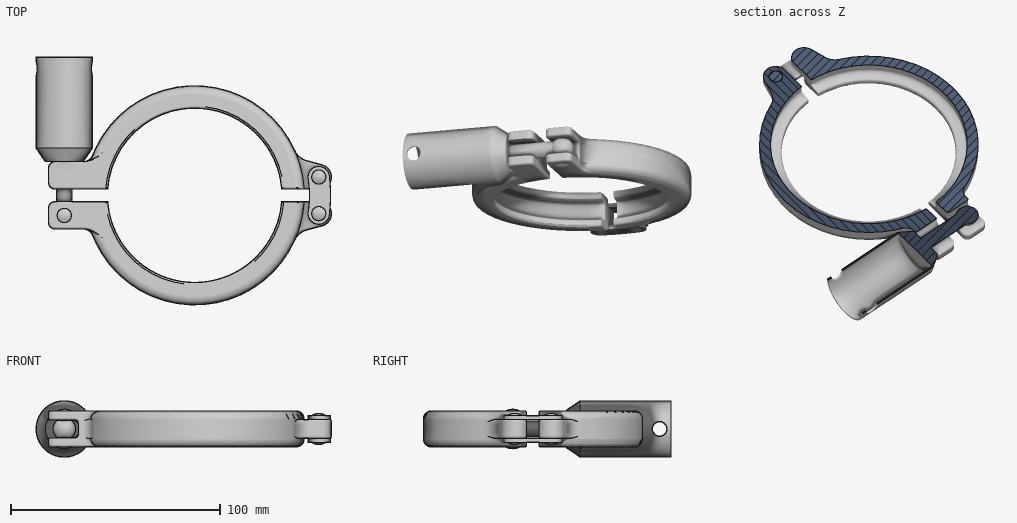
import cadquery as cq
import math


OVERALL_LENGTH = 141.1

RING_RADIUS = 52.4
RING_HALF_HEIGHT = 8.6
RING_ROUNDING = 3.8
RING_WALL_HALF_HEIGHT = RING_HALF_HEIGHT - RING_ROUNDING
RING_FLAT_RADIUS = RING_RADIUS - RING_ROUNDING
BORE_RADIUS = 41.6
HALF_GAP = 3.0
EDGE_FILLET = 1.0

GROOVE_RADIUS = 46.8
GROOVE_FLOOR_HALF_HEIGHT = 4.2
GROOVE_MOUTH_HALF_HEIGHT = 5.2

FORK_END_X = -69.8
FORK_BACK_Y = 16.1
FORK_CORNER_RADIUS = 3.1
FORK_BLEND_RADIUS = 5.0
FORK_RIM_BLEND_RADIUS = 9.3
FORK_SECTOR_ANGLE = 24.5
RING_START_ANGLE = 18.5
SLOT_HALF_HEIGHT = 4.2
PIVOT_SLOT_END_X = -55.6
PIVOT_SLOT_CORNER_RADIUS = 1.5
CLOSING_SLOT_END_X = PIVOT_SLOT_END_X + EDGE_FILLET
CLOSING_SLOT_CORNER_RADIUS = 4.1

HINGE_X = 59.3
HINGE_Y = 8.7
LUG_RADIUS = 6.0
LUG_HALF_HEIGHT = 4.5
LUG_SLOPE = 15.0
LUG_BLEND_RADIUS = 8.5
LINK_HALF_WIDTH = 5.1
LINK_TOP = 6.3
PIN_RADIUS = 3.4
HINGE_HEAD_HEIGHT = 1.1

HANDLE_DIAMETER = 27.0
PIVOT_Y = -9.6
PIVOT_HEAD_HEIGHT = 0.8
BALL_RADIUS = 5.4
ROD_DIAMETER = 7.6
HANDLE_RADIUS = HANDLE_DIAMETER / 2
HANDLE_WALL = 1.0
BOLT_X = HINGE_X + LUG_RADIUS + HANDLE_RADIUS - OVERALL_LENGTH
HANDLE_NECK_RADIUS = 9.0
HANDLE_CONE_Y = 22.6
HANDLE_END_Y = 66.0
HANDLE_HOLE_Y = 60.5
HANDLE_HOLE_DIAMETER = 6.9

TOLERANCE = 0.01
FAR = 2 * RING_RADIUS


def slab(half_height):
    """Workplane at the bottom of a plate that is centred on Z = 0."""
    return cq.Workplane("XY", origin=(0, 0, -half_height))


def cylinder(x, y, radius, half_height):
    """Upright cylinder that is centred on Z = 0."""
    return slab(half_height).center(x, y).circle(radius).extrude(2 * half_height)


def front_space():
    """Everything on the front side of the gap."""
    return cq.Workplane("XY").box(2 * FAR, FAR, FAR).translate((0, -HALF_GAP - FAR / 2, 0))


def fork_sector(angle, half_height):
    """Wedge round the ring axis, from the gap to an angle on the fork side."""
    drop = FAR * math.tan(math.radians(angle))
    return slab(half_height).polyline([(0, 0), (-FAR, 0), (-FAR, -drop)]).close().extrude(2 * half_height)


def edge_at(x, y):
    """Selector of the upright edge at a point of an outline."""
    return cq.selectors.NearestToPointSelector((x, y, 0))


def half_ring():
    """Half ring with a rounded outside and filleted rims at the bore and at the gap."""
    disc = cylinder(0, 0, RING_RADIUS, RING_HALF_HEIGHT)
    bore = cylinder(0, 0, BORE_RADIUS, RING_HALF_HEIGHT)
    rimmed = disc.cut(bore).intersect(front_space()).faces("<Z or >Z").edges().fillet(EDGE_FILLET)
    ring = rimmed.intersect(disc.edges().fillet(RING_ROUNDING))
    inside = cylinder(0, 0, RING_FLAT_RADIUS, RING_HALF_HEIGHT)
    ring = ring.cut(fork_sector(RING_START_ANGLE, RING_HALF_HEIGHT))
    return ring.cut(fork_sector(FORK_SECTOR_ANGLE, RING_HALF_HEIGHT).intersect(inside))


def fork_plate(disc_radius, half_height, blend_radius):
    """Fork arm that runs into a disc round the ring axis through a concave blend."""
    height = 2 * half_height
    arm = (
        slab(half_height)
        .moveTo(FORK_END_X, -FORK_BACK_Y)
        .lineTo(-BORE_RADIUS, -FORK_BACK_Y)
        .lineTo(-BORE_RADIUS, -HALF_GAP)
        .lineTo(FORK_END_X, -HALF_GAP)
        .close()
        .extrude(height)
        .edges("|Z and <X")
        .fillet(FORK_CORNER_RADIUS)
    )
    disc = cylinder(0, 0, disc_radius, half_height).intersect(front_space())
    corner_x = -math.sqrt(disc_radius**2 - FORK_BACK_Y**2)
    plate = arm.union(disc).edges(edge_at(corner_x, -FORK_BACK_Y)).fillet(blend_radius)
    plate = plate.cut(cylinder(0, 0, BORE_RADIUS, half_height))
    plate = plate.faces("<Z or >Z").edges().fillet(EDGE_FILLET)
    return plate.intersect(fork_sector(FORK_SECTOR_ANGLE, half_height))


def fork():
    """Full-height fork, and the wall that leads from its back to the outside of the ring."""
    rim = fork_plate(RING_FLAT_RADIUS + EDGE_FILLET, RING_HALF_HEIGHT, FORK_RIM_BLEND_RADIUS)
    wall = fork_plate(RING_RADIUS, RING_WALL_HALF_HEIGHT, FORK_BLEND_RADIUS)
    return rim.union(wall)


def fork_slot(end_x, corner_radius):
    """Slot that the swing bolt lies in, with rounded inner corners."""
    length = end_x - FORK_END_X
    return (
        cq.Workplane("XY")
        .box(length, 2 * FORK_BACK_Y, 2 * SLOT_HALF_HEIGHT)
        .edges("|Y and >X")
        .fillet(corner_radius)
        .translate((FORK_END_X + length / 2, -FORK_BACK_Y, 0))
    )


def hinge_lug():
    """Flat lug round the hinge pin that blends into the outside of the ring."""
    slope = math.radians(LUG_SLOPE)
    along = cq.Vector(math.cos(slope), math.sin(slope))
    outward = cq.Vector(math.sin(slope), -math.cos(slope))
    eye_centre = cq.Vector(HINGE_X, -HINGE_Y)
    blend_offset = eye_centre.dot(outward) + LUG_RADIUS + LUG_BLEND_RADIUS
    blend_distance = RING_RADIUS + LUG_BLEND_RADIUS
    blend_centre = outward * blend_offset + along * math.sqrt(blend_distance**2 - blend_offset**2)
    ring_direction = blend_centre.normalized()
    blend_middle = blend_centre - (outward + ring_direction).normalized() * LUG_BLEND_RADIUS
    eye_gap_x = HINGE_X + math.sqrt(LUG_RADIUS**2 - (HINGE_Y - HALF_GAP) ** 2)
    outline = (
        slab(LUG_HALF_HEIGHT)
        .moveTo(RING_FLAT_RADIUS, -HALF_GAP)
        .lineTo(eye_gap_x, -HALF_GAP)
        .threePointArc(
            (HINGE_X + LUG_RADIUS, -HINGE_Y),
            (eye_centre + outward * LUG_RADIUS).toTuple()[:2],
        )
        .lineTo(*(blend_centre - outward * LUG_BLEND_RADIUS).toTuple()[:2])
        .threePointArc(blend_middle.toTuple()[:2], (ring_direction * RING_RADIUS).toTuple()[:2])
        .lineTo(*(ring_direction * RING_FLAT_RADIUS).toTuple()[:2])
        .close()
    )
    lug = outline.extrude(2 * LUG_HALF_HEIGHT)
    return lug.faces("<Z or >Z").edges().fillet(EDGE_FILLET)


def groove():
    """Disc that is turned out of the ring to form the groove, with rounded floor corners."""
    lower_side = [
        (0, -GROOVE_MOUTH_HALF_HEIGHT),
        (BORE_RADIUS, -GROOVE_MOUTH_HALF_HEIGHT),
        (GROOVE_RADIUS, -GROOVE_FLOOR_HALF_HEIGHT),
    ]
    upper_side = [(r, -z) for r, z in reversed(lower_side)]
    disc = cq.Workplane("XZ").polyline(lower_side + upper_side).close().revolve(360, (0, 0), (0, 1))
    return disc.edges().filter(is_groove_floor).fillet(EDGE_FILLET)


def is_groove_floor(edge):
    """True for the circular edges at the bottom of the groove."""
    return edge.geomType() == "CIRCLE" and abs(edge.radius() - GROOVE_RADIUS) < TOLERANCE


def is_groove_mouth(edge):
    """True for the circular edges between the bore and the groove."""
    height = abs(edge.Center().z)
    return (
        edge.geomType() == "CIRCLE"
        and abs(edge.radius() - BORE_RADIUS) < TOLERANCE
        and abs(height - GROOVE_MOUTH_HALF_HEIGHT) < TOLERANCE
    )


def clamp_half():
    """Front half of the clamp, without its slot, link and pins."""
    half = half_ring().union(fork()).union(hinge_lug()).cut(groove())
    return half.edges().filter(is_groove_mouth).fillet(EDGE_FILLET)


def pin_with_heads(x, y, half_length, head_height):
    """Riveted pin with a domed head at each end."""
    tip = half_length + head_height
    dome_radius = (PIN_RADIUS**2 + head_height**2) / (2 * head_height)
    middle_x = PIN_RADIUS / 2
    middle_z = tip - dome_radius + math.sqrt(dome_radius**2 - middle_x**2)
    return (
        cq.Workplane("XZ")
        .moveTo(0, -tip)
        .threePointArc((middle_x, -middle_z), (PIN_RADIUS, -half_length))
        .lineTo(PIN_RADIUS, half_length)
        .threePointArc((middle_x, middle_z), (0, tip))
        .close()
        .revolve(360, (0, 0), (0, 1))
        .translate((x, y, 0))
    )


def link_plates():
    """Two banana-shaped link plates, bent round the ring axis, above and below the lugs."""
    pitch_radius = math.hypot(HINGE_X, HINGE_Y)
    outer_radius = pitch_radius + LINK_HALF_WIDTH
    inner_radius = pitch_radius - LINK_HALF_WIDTH
    cosine = HINGE_X / pitch_radius
    sine = HINGE_Y / pitch_radius
    end_x = HINGE_X - LINK_HALF_WIDTH * sine
    end_y = HINGE_Y + LINK_HALF_WIDTH * cosine
    outer_x, outer_y = outer_radius * cosine, outer_radius * sine
    inner_x, inner_y = inner_radius * cosine, inner_radius * sine
    plate = (
        cq.Workplane("XY", origin=(0, 0, LUG_HALF_HEIGHT))
        .moveTo(outer_x, -outer_y)
        .threePointArc((outer_radius, 0), (outer_x, outer_y))
        .threePointArc((end_x, end_y), (inner_x, inner_y))
        .threePointArc((inner_radius, 0), (inner_x, -inner_y))
        .threePointArc((end_x, -end_y), (outer_x, -outer_y))
        .close()
        .extrude(LINK_TOP - LUG_HALF_HEIGHT)
    )
    return plate.union(plate.mirror("XY"))


def make_front_half():
    """Front half with the pivot slot, and with the hinge link and its two pins."""
    half = clamp_half().cut(fork_slot(PIVOT_SLOT_END_X, PIVOT_SLOT_CORNER_RADIUS))
    fork_middle_y = -(HALF_GAP + FORK_BACK_Y) / 2
    slot_rim = cq.selectors.NearestToPointSelector((FORK_END_X, fork_middle_y, SLOT_HALF_HEIGHT))
    half = half.edges(slot_rim).fillet(EDGE_FILLET).union(link_plates())
    for y in (-HINGE_Y, HINGE_Y):
        half = half.union(pin_with_heads(HINGE_X, y, LINK_TOP, HINGE_HEAD_HEIGHT))
    return half.cut(cylinder(BOLT_X, PIVOT_Y, PIN_RADIUS, RING_HALF_HEIGHT))


def make_rear_half():
    """Rear half with a sharp-edged slot, and a hole for its hinge pin."""
    half = clamp_half().cut(fork_slot(CLOSING_SLOT_END_X, CLOSING_SLOT_CORNER_RADIUS)).mirror("XZ")
    return half.cut(cylinder(HINGE_X, HINGE_Y, PIN_RADIUS, LUG_HALF_HEIGHT))


def make_swing_bolt():
    """Rod with a flattened ball on its pivot pin, and a hollow cross-drilled handle."""
    rod_radius = ROD_DIAMETER / 2
    hollow_radius = HANDLE_RADIUS - HANDLE_WALL
    profile = [
        (0, PIVOT_Y),
        (rod_radius, PIVOT_Y),
        (rod_radius, FORK_BACK_Y),
        (HANDLE_NECK_RADIUS, FORK_BACK_Y),
        (HANDLE_RADIUS, HANDLE_CONE_Y),
        (HANDLE_RADIUS, HANDLE_END_Y),
        (hollow_radius, HANDLE_END_Y),
        (hollow_radius, HANDLE_CONE_Y),
        (0, HANDLE_CONE_Y),
    ]
    turned = cq.Workplane("XY").polyline(profile).close().revolve(360, (0, 0), (0, 1))
    turned = turned.translate((BOLT_X, 0, 0))
    ball = cq.Workplane("XY").sphere(BALL_RADIUS).translate((BOLT_X, PIVOT_Y, 0))
    ball = ball.intersect(cylinder(BOLT_X, PIVOT_Y, BALL_RADIUS, SLOT_HALF_HEIGHT))
    bolt = turned.union(ball).union(pin_with_heads(BOLT_X, PIVOT_Y, RING_HALF_HEIGHT, PIVOT_HEAD_HEIGHT))
    hole = (
        cq.Workplane("YZ", origin=(BOLT_X, HANDLE_HOLE_Y, 0))
        .circle(HANDLE_HOLE_DIAMETER / 2)
        .extrude(HANDLE_DIAMETER, both=True)
    )
    return bolt.cut(hole)


front_half = make_front_half()
rear_half = make_rear_half()
swing_bolt = make_swing_bolt()
result = cq.Compound.makeCompound(
    [
        *front_half.solids().vals(),
        *rear_half.solids().vals(),
        *swing_bolt.solids().vals(),
    ]
)